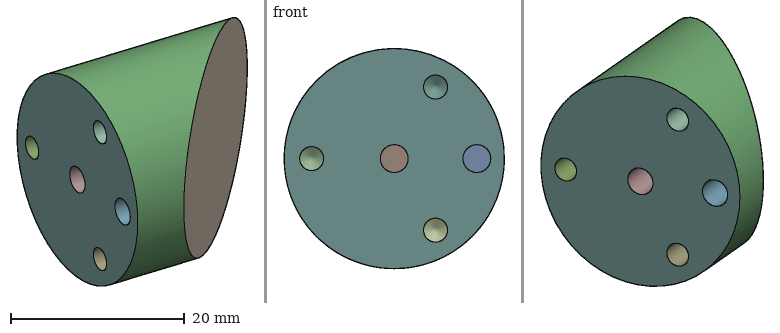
import cadquery as cq
import math

diameter = 25.4
long_side = 31.75
short_side = long_side - diameter
radius = diameter / 2

hole_circle_radius = 9.52
drilled_diameter = 2.75
drilled_depth = 5.7
drill_point_angle = 118.0
drilled_angles = (60, 180, 300)
pin_diameter = 3.2
pin_depth = 5.7


def make_body():
    """Cylinder formed as the overlap of a round bar and a sloped side profile."""
    bar = cq.Workplane("XZ").circle(radius).extrude(-long_side)
    side_profile = (
        cq.Workplane("XY")
        .moveTo(-radius, 0)
        .lineTo(radius, 0)
        .lineTo(radius, short_side)
        .lineTo(-radius, long_side)
        .close()
        .extrude(radius, both=True)
    )
    return bar.intersect(side_profile)


def drilled_hole(angle):
    """Blind hole with a conical bottom, on the hole circle."""
    hole_radius = drilled_diameter / 2
    tip_length = hole_radius / math.tan(math.radians(drill_point_angle / 2))
    x = hole_circle_radius * math.cos(math.radians(angle))
    z = hole_circle_radius * math.sin(math.radians(angle))
    return (
        cq.Workplane("XY")
        .lineTo(hole_radius, 0)
        .lineTo(hole_radius, drilled_depth)
        .lineTo(0, drilled_depth + tip_length)
        .close()
        .revolve(360, (0, 0, 0), (0, 1, 0))
        .translate((x, 0, z))
    )


def pin_holes():
    """Flat-bottomed holes: one central, one on the hole circle at the short side."""
    return (
        cq.Workplane("XZ")
        .pushPoints([(0, 0), (hole_circle_radius, 0)])
        .circle(pin_diameter / 2)
        .extrude(-pin_depth)
    )


result = make_body().cut(pin_holes())
for hole_angle in drilled_angles:
    result = result.cut(drilled_hole(hole_angle))